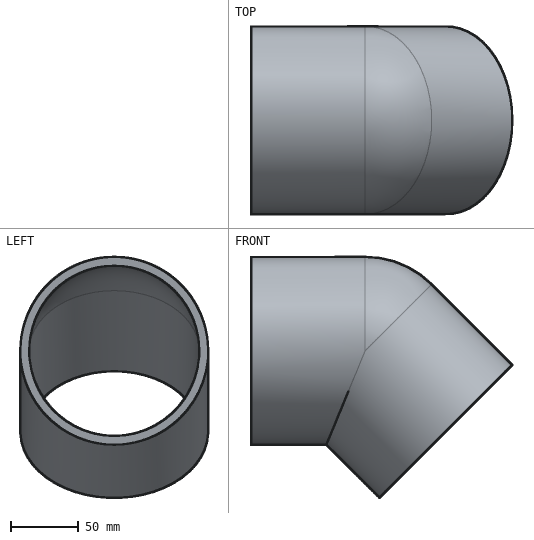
import cadquery as cq
import math

outer_diameter = 140.0
inner_diameter = 126.6
leg_length = 85.0
bend_angle = 45.0

bend = math.radians(bend_angle)
knuckle_centre = cq.Vector(0, 0, 0)
inlet_direction = cq.Vector(-1, 0, 0)
outlet_direction = cq.Vector(math.cos(bend), 0, -math.sin(bend))


def leg(diameter, direction):
    """Solid cylinder running from the knuckle centre to one open end."""
    cylinder = cq.Solid.makeCylinder(diameter / 2, leg_length, knuckle_centre, direction)
    return cq.Workplane(cylinder)


def bent_rod(diameter):
    """Solid rod following both legs, rounded at the bend by a sphere."""
    knuckle = cq.Workplane().sphere(diameter / 2)
    inlet = leg(diameter, inlet_direction)
    outlet = leg(diameter, outlet_direction)
    return inlet.union(outlet).union(knuckle)


result = bent_rod(outer_diameter).cut(bent_rod(inner_diameter))